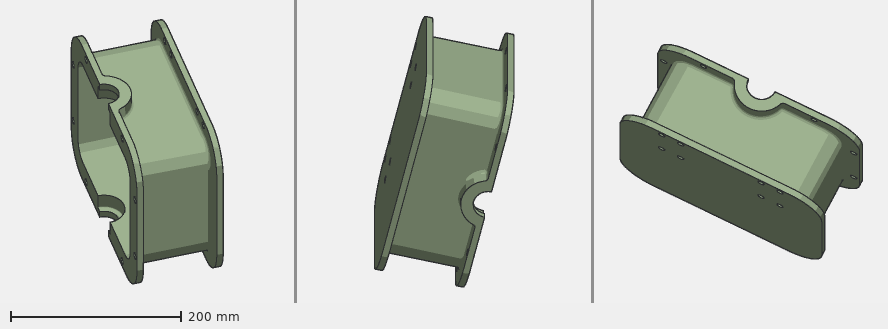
import cadquery as cq

length = 266.0
depth = 106.0
height = 208.0

wall = 8.0
flange_corner = 43.0
box_length = 226.0
box_height = 168.0
box_corner = 28.0
floor_fillet = 5.0
outer_fillet = 4.8

boss_radius = 32.2
shaft_radius = 17.5
seat_radius = 24.5
seat_shoulder = 8.8
seat_fillet = 1.0

hole_diameter = 8.0
side_hole_x = 125.0
side_hole_z = 44.0
end_hole_x = 73.0
end_hole_z = 95.8
mount_hole_x = (53.0, 78.0)
mount_hole_z = (46.0, end_hole_z)

front_y = -depth / 2
back_y = depth / 2
front_flange_back = front_y + wall
back_flange_front = back_y - wall


def rounded_block(size_x, size_z, corner, y_start, y_end):
    """Block with rounded corners in XZ, spanning y_start to y_end."""
    block = cq.Workplane("XY").box(size_x, y_end - y_start, size_z)
    return block.edges("|Y").fillet(corner).translate((0, (y_start + y_end) / 2, 0))


def shaft_cylinder(radius, full_height):
    """Vertical cylinder about the shaft axis."""
    cylinder = cq.Workplane("XY").circle(radius).extrude(full_height / 2, both=True)
    return cylinder.translate((0, front_y, 0))


def drill(points, y_start):
    """Cutters for holes along Y through one wall thickness."""
    plane = cq.Workplane("XZ", origin=(0, y_start, 0))
    return plane.pushPoints(points).circle(hole_diameter / 2).extrude(-wall)


def edges_in(solid, x_half, y_min, y_max, z_half):
    """Edges lying wholly inside a box centred on X and Z."""
    selector = cq.selectors.BoxSelector(
        (-x_half, y_min, -z_half), (x_half, y_max, z_half), boundingbox=True
    )
    return solid.edges(selector)


envelope = rounded_block(length, height, flange_corner, front_y, back_y)
boss = shaft_cylinder(boss_radius, height).intersect(envelope)
body = (
    rounded_block(box_length, box_height, box_corner, front_y, back_y)
    .union(rounded_block(length, height, flange_corner, front_y, front_flange_back))
    .union(rounded_block(length, height, flange_corner, back_flange_front, back_y))
    .union(boss)
)

margin = 0.3
root_x = box_length / 2 + margin
root_z = box_height / 2 + margin
boss_corners = body.edges("|Z").edges(
    cq.selectors.BoxSelector(
        (-boss_radius - margin, front_flange_back - margin, -height),
        (boss_radius + margin, front_flange_back + margin, height),
    )
)
body = boss_corners.fillet(outer_fillet)
body = edges_in(
    body, root_x, front_flange_back - margin, front_y + boss_radius + margin, root_z
).fillet(outer_fillet)
body = edges_in(
    body, root_x, back_flange_front - margin, back_flange_front + margin, root_z
).fillet(outer_fillet)

cavity = rounded_block(
    box_length - 2 * wall, box_height - 2 * wall, box_corner - wall, front_y, back_flange_front
)
body = body.cut(cavity.faces(">Y").edges().fillet(floor_fillet))

body = body.cut(shaft_cylinder(shaft_radius, height))
seat = shaft_cylinder(seat_radius, height - 2 * seat_shoulder)
body = body.cut(seat.edges("%CIRCLE").fillet(seat_fillet))

front_holes = []
for side_x in (-1, 1):
    for side_z in (-1, 1):
        front_holes.append((side_x * side_hole_x, side_z * side_hole_z))
        front_holes.append((side_x * end_hole_x, side_z * end_hole_z))
body = body.cut(drill(front_holes, front_y))

back_holes = [(side * x, z) for side in (-1, 1) for x in mount_hole_x for z in mount_hole_z]
result = body.cut(drill(back_holes, back_flange_front))